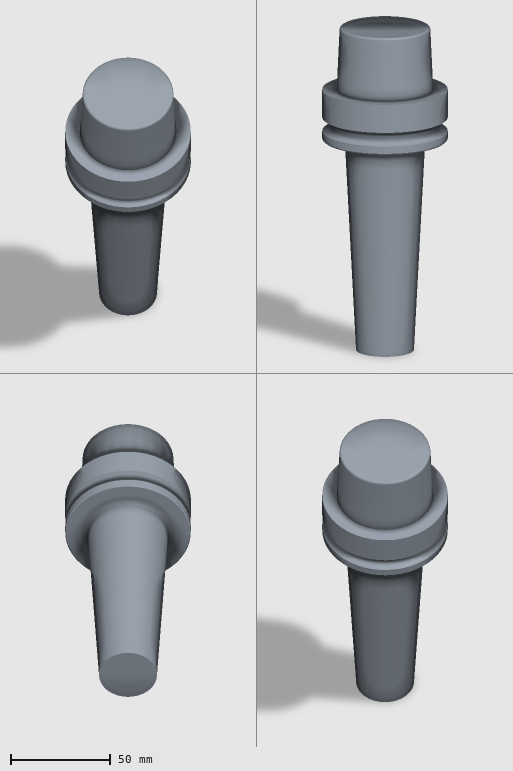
import cadquery as cq

total_length = 167.0
flange_diameter = 63.0
flange_radius = flange_diameter / 2

shank_length = 32.0
shank_base_radius = 24.2
shank_top_radius = 22.7
shank_top_fillet = 1.2

flange_height = 26.0
upper_rim_height = 14.5
groove_width = 7.0
groove_depth = 4.0
groove_flank_height = 2.2
groove_corner_fillet = 0.8
lower_edge_chamfer = 0.7

nose_tip_radius = 14.5
nose_base_radius = 20.2
nose_root_fillet = 3.0

shank_base_z = total_length - shank_length
flange_bottom_z = shank_base_z - flange_height
groove_top_z = shank_base_z - upper_rim_height
groove_bottom_z = groove_top_z - groove_width


def revolve_profile(points):
    """Turn a closed outline of (radius, height) points around the Z axis."""
    return cq.Workplane("XZ").polyline(points).close().revolve(360, (0, 0, 0), (0, 1, 0))


def circles_at(body, radius, height):
    """Select the circular edges of a turned body through (radius, height)."""
    tolerance = 0.02
    reach = radius + tolerance
    return body.edges(
        cq.selectors.BoxSelector(
            (-reach, -reach, height - tolerance),
            (reach, reach, height + tolerance),
            boundingbox=True,
        )
    )


def make_nose_and_flange():
    body = revolve_profile([
        (0, 0),
        (nose_tip_radius, 0),
        (nose_base_radius, flange_bottom_z),
        (flange_radius, flange_bottom_z),
        (flange_radius, shank_base_z),
        (0, shank_base_z),
    ])
    body = circles_at(body, nose_base_radius, flange_bottom_z).fillet(nose_root_fillet)
    return circles_at(body, flange_radius, flange_bottom_z).chamfer(lower_edge_chamfer)


def cut_groove(body):
    floor_radius = flange_radius - groove_depth
    floor_top_z = groove_top_z - groove_flank_height
    floor_bottom_z = groove_bottom_z + groove_flank_height
    cutter = revolve_profile([
        (flange_radius, groove_bottom_z),
        (floor_radius, floor_bottom_z),
        (floor_radius, floor_top_z),
        (flange_radius, groove_top_z),
    ])
    for corner_z in (floor_bottom_z, floor_top_z):
        cutter = circles_at(cutter, floor_radius, corner_z).fillet(groove_corner_fillet)
    return body.cut(cutter)


def make_shank():
    shank = revolve_profile([
        (0, shank_base_z),
        (shank_base_radius, shank_base_z),
        (shank_top_radius, total_length),
        (0, total_length),
    ])
    return circles_at(shank, shank_top_radius, total_length).fillet(shank_top_fillet)


result = cut_groove(make_nose_and_flange()).union(make_shank())